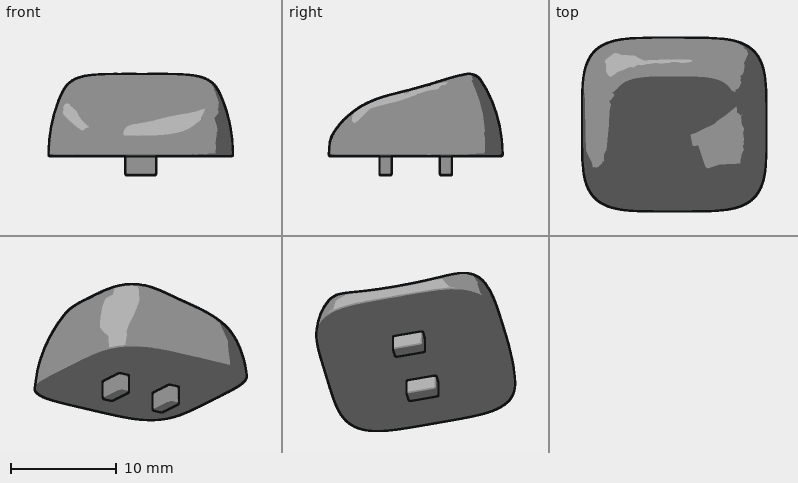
import cadquery as cq
import math

width = 17.5
depth = 16.48
base_squareness = 4.4
top_squareness = 3.0
base_round = 0.21

side_dome = 11.55
back_dome = 10.85
front_dome = 8.75
blank_height = 8.58
section_count = 7
outline_points = 40

dish_half_width = 6.12
dish_stations = [
    (-9.1, 0.35, 0.35),
    (-8.05, 2.19, 0.49),
    (-7.0, 3.38, 0.52),
    (-4.9, 4.86, 0.65),
    (-0.52, 6.3, 0.74),
    (2.1, 7.12, 0.52),
    (4.55, 7.88, 0.15),
    (9.1, 9.24, 0.04),
]
cutter_half_width = 10.5
cutter_top = 14.0
rim_round = 1.31
rim_search_height = 0.7

tab_width = 2.94
tab_thickness = 1.19
tab_length = 1.8
tab_offset = 2.85
tab_round = 0.21
tab_overlap = 0.35


def dome_scale(z, dome_height):
    """Fraction of the base size left at height z on an elliptical wall."""
    return math.sqrt(1 - (z / dome_height) ** 2)


def wall_section(z):
    """Closed superellipse outline of the blank at height z."""
    half_x = width / 2 * dome_scale(z, side_dome)
    back_y = depth / 2 * dome_scale(z, back_dome)
    front_y = -depth / 2 * dome_scale(z, front_dome)
    half_y = (back_y - front_y) / 2
    mid_y = (back_y + front_y) / 2
    squareness = base_squareness + (top_squareness - base_squareness) * z / blank_height
    points = []
    for i in range(outline_points):
        angle = 2 * math.pi * i / outline_points
        x_part = math.cos(angle)
        y_part = math.sin(angle)
        reach = (abs(x_part) ** squareness + abs(y_part) ** squareness) ** (-1 / squareness)
        points.append(cq.Vector(half_x * reach * x_part, mid_y + half_y * reach * y_part, z))
    return cq.Wire.assembleEdges([cq.Edge.makeSpline(points, periodic=True)])


def domed_blank():
    """Smooth loft through wall sections from the base to the blank's top."""
    heights = [blank_height * i / (section_count - 1) for i in range(section_count)]
    return cq.Workplane(cq.Solid.makeLoft([wall_section(z) for z in heights]))


def dish_section(y, rim_z, dish_depth):
    """Region above the top surface at one Y: a shallow arc closed by a box."""
    edge_z = rim_z + dish_depth * ((cutter_half_width / dish_half_width) ** 2 - 1)
    left = cq.Vector(-cutter_half_width, y, edge_z)
    middle = cq.Vector(0, y, rim_z - dish_depth)
    right = cq.Vector(cutter_half_width, y, edge_z)
    top_right = cq.Vector(cutter_half_width, y, cutter_top)
    top_left = cq.Vector(-cutter_half_width, y, cutter_top)
    return cq.Wire.assembleEdges([
        cq.Edge.makeThreePointArc(left, middle, right),
        cq.Edge.makeLine(right, top_right),
        cq.Edge.makeLine(top_right, top_left),
        cq.Edge.makeLine(top_left, left),
    ])


def dish_cutter():
    """Solid covering everything above the dished, forward-sloping top."""
    return cq.Workplane(cq.Solid.makeLoft([dish_section(*station) for station in dish_stations]))


def tab(y):
    """Rounded rectangular tab hanging below the base at one Y."""
    return (
        cq.Workplane("XY")
        .box(tab_width, tab_thickness, tab_length + tab_overlap, centered=(True, True, False))
        .edges("|Z or <Z")
        .fillet(tab_round)
        .translate((0, y, -tab_length))
    )


body = domed_blank().cut(dish_cutter())
body = body.faces("<Z").edges().fillet(base_round)

rim_edges = [edge for edge in body.edges().vals() if edge.BoundingBox().zmin > rim_search_height]
body = body.newObject(rim_edges).fillet(rim_round)

result = body
for y in (-tab_offset, tab_offset):
    result = result.union(tab(y))